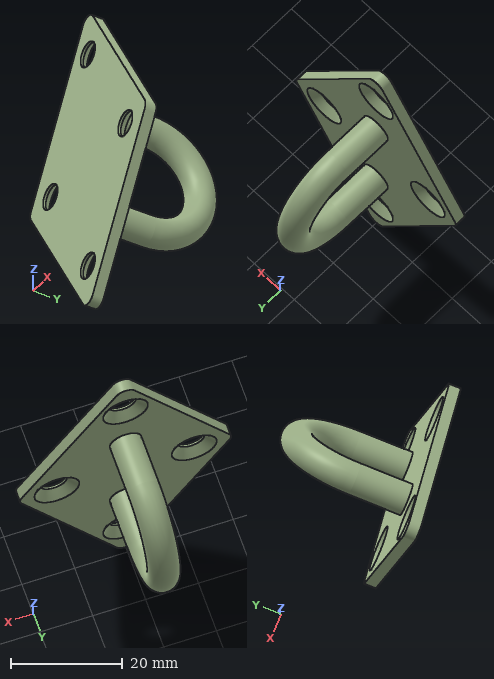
import cadquery as cq
import math

plate_width = 40.0
plate_height = 64.0
plate_thickness = 2.3
corner_radius = 2.0

hole_diameter = 5.0
countersink_angle = 90.0
countersink_diameter = 8.5
hole_offset_x = 13.0
hole_offset_z = 23.5

rod_diameter = 6.0
bend_radius = 11.1
leg_length = 10.1

rod_radius = rod_diameter / 2


def make_plate():
    """Diamond whose corners are arcs centred on the two diagonals."""
    arc_center_x = plate_width / 2 - corner_radius
    arc_center_z = plate_height / 2 - corner_radius
    corner_centers = [
        (arc_center_x, 0),
        (0, arc_center_z),
        (-arc_center_x, 0),
        (0, -arc_center_z),
    ]
    return (
        cq.Workplane("XZ")
        .polyline(corner_centers)
        .close()
        .offset2D(corner_radius, "arc")
        .extrude(-plate_thickness)
    )


def make_screw_holes():
    """Four cutters: a short straight hole that opens into a cone at the inner face."""
    hole_radius = hole_diameter / 2
    cone_radius = countersink_diameter / 2
    half_angle = math.radians(countersink_angle / 2)
    cone_depth = (cone_radius - hole_radius) / math.tan(half_angle)
    cone_start_y = plate_thickness - cone_depth
    half_profile = [
        (0, 0),
        (hole_radius, 0),
        (hole_radius, cone_start_y),
        (cone_radius, plate_thickness),
        (0, plate_thickness),
    ]
    cutter = (
        cq.Workplane("XY")
        .polyline(half_profile)
        .close()
        .revolve(360, (0, 0), (0, 1))
        .val()
    )
    hole_centers = [
        (hole_offset_x, 0),
        (0, hole_offset_z),
        (-hole_offset_x, 0),
        (0, -hole_offset_z),
    ]
    cutters = [cutter.translate(cq.Vector(x, 0, z)) for x, z in hole_centers]
    return cq.Compound.makeCompound(cutters)


def make_eye():
    """Two straight legs joined by a half-circle bend in the YZ plane."""
    legs = (
        cq.Workplane("XZ", origin=(0, plate_thickness, 0))
        .pushPoints([(0, bend_radius), (0, -bend_radius)])
        .circle(rod_radius)
        .extrude(-leg_length)
    )
    bend_start_y = plate_thickness + leg_length
    bend = (
        cq.Workplane("XZ", origin=(0, bend_start_y, 0))
        .center(0, bend_radius)
        .circle(rod_radius)
        .revolve(180, (0, -bend_radius), (-1, -bend_radius))
    )
    return legs.union(bend)


result = make_plate().cut(make_screw_holes()).union(make_eye())